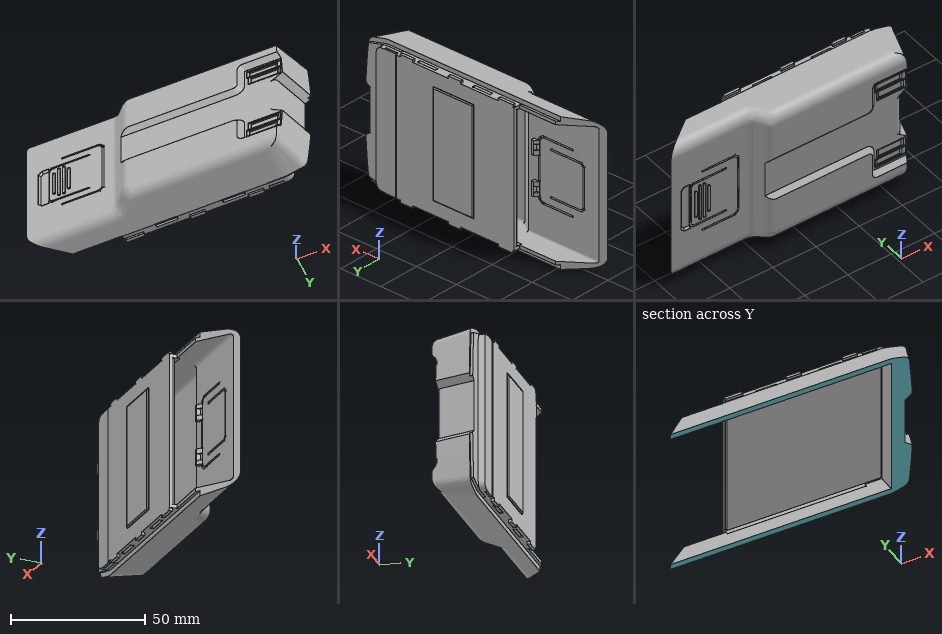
import cadquery as cq
import math


LENGTH = 111.7
RIM_HALF = 65.8 / 2
DRAFT = 9.8
TIP_FACE_Y = -10.4
FACE_Y = -16.4
STEP_START_X = 36.9
STEP_END_X = 42.2
STEP_INNER_R = 3.7
STEP_OUTER_R = 5.4
EDGE_R = 5.0
LIP_HEIGHT = 1.1
LIP_INSET = 2.0
LIP_END_INSET = 1.2
TIP_RUN = 15.9
LIP_HALF = RIM_HALF - LIP_INSET

END_R = 279.4
END_LEAN = 19.3
CORNER_R = 3.4
FACET_START_X = 99.8
FACET_R = 12.9
FACET_ANGLE = 14.5
OVERSHOOT = 8.9

CAVITY_HALF = 29.4
CAVITY_CORNER_R = 1.2
TIP_FLOOR_Y = -8.5
FLOOR_Y = -12.5
CAVITY_END_X = 100.6
CAVITY_STEP_SHIFT = 1.1

CHANNEL_DEPTH = 1.9
CHANNEL_SIDE_ANGLE = 48.0
CHANNEL_HALF = 10.1
CHANNEL_WIDE_HALF = 23.1
CHANNEL_WIDE_X = 89.0
CHANNEL_INNER_R = 1.7
CHANNEL_OUTER_R = 2.5
CHANNEL_FLOOR_Y = FACE_Y + CHANNEL_DEPTH

NOTCH_DEPTH = 3.2
NOTCH_HALF = 9.8
NOTCH_MOUTH_HALF = 12.3
NOTCH_EDGE_R = 2.2
END_X = LENGTH + NOTCH_MOUTH_HALF ** 2 / (2 * END_R * math.cos(math.radians(END_LEAN)))

OUTER_CONTACT = (91.9, 18.3, 3.7)
INNER_CONTACT = (92.5, 14.3, 4.1)
CONTACT_END_X = 105.9
CONTACT_DEPTH = 0.5
CONTACT_WELL_DEPTH = 1.0
CONTACT_WELL_LENGTH = 10.7
CONTACT_WELL_MARGIN_X = 1.0
CONTACT_WELL_MARGIN_Z = 0.3
CONTACT_RAMP = 0.8

SLOT_WIDTH = 0.73
SLOT_LEAN = 1.3
PRESS_SLOT = (9.0, 25.4, 10.3, 1.2)
HINGE_SLOT = (31.3, 14.7, 14.3, 1.6)
FINGER_X = 4.8
FINGER_HALF = 10.7
FINGER_DEPTH = 0.9
FINGER_CHAMFER = 1.5
FINGER_BEVEL = 0.8
GRIP_START_X = 11.4
GRIP_PITCH = 2.0
GRIP_WIDTH = 1.1
GRIP_HEIGHT = 0.5
GRIP_LENGTHS = (12.7, 16.8, 16.8, 12.7)

HOOK_X = 32.4
HOOK_RAMP = 1.7
HOOK_BACK = 1.1
HOOK_HEIGHT = 1.6
HOOK_Z = (5.7, 12.1)
HOOK_GAP_Z = (7.7, 10.4)

LID_START_X = 34.0
LID_STEP_X = 93.3
LID_END_X = 103.4
LID_TOP_Y = 4.0
LID_STEP_DROP = 0.3
LID_CORNER_R = 2.8
LID_PLATE_Y = 1.8
LID_REBATE = 0.7
PAD_X = (54.1, 74.3)
PAD_HALF = 24.5
PAD_TOP_Y = 4.7
PAD_BEVEL = 0.5
TAB_SPANS = ((34.6, 42.0), (60.9, 67.0), (84.8, 91.1))
TAB_BOTTOM_Y = 2.7
TAB_REACH = 1.06
END_RIB_LENGTH = 6.0
END_RIB_REACH = 0.17
WINDOW_SPANS = ((47.4, 56.1), (74.6, 83.7))
WINDOW_Y = (1.2, 2.7)
WINDOW_DEPTH = 1.3


def box(x, y, z):
    """Block spanning the given (low, high) pairs."""
    size = (x[1] - x[0], y[1] - y[0], z[1] - z[0])
    return cq.Workplane("XY").box(*size, centered=False).translate((x[0], y[0], z[0]))


def plan(y):
    """Sketch plane at height Y, with local axes X and Z, facing the front."""
    return cq.Workplane("XZ", origin=(0, y, 0))


def side_prism(points, half):
    """Prism with an XY outline, symmetric about Z = 0."""
    return cq.Workplane("XY").polyline(points).close().extrude(half, both=True)


def rim_outline(inset):
    """Plan outline with straight sides that bend into angled facets near the far end."""
    half = RIM_HALF - inset
    angle = math.radians(FACET_ANGLE)
    radius = FACET_R - inset
    bend_x = FACET_START_X + radius * math.sin(angle)
    bend_half = half - radius * (1 - math.cos(angle))
    mid_x = FACET_START_X + radius * math.sin(angle / 2)
    mid_half = half - radius * (1 - math.cos(angle / 2))
    end_x = END_X + OVERSHOOT
    end_half = bend_half - (end_x - bend_x) * math.tan(angle)
    return (
        plan(0)
        .moveTo(-OVERSHOOT, -half)
        .lineTo(FACET_START_X, -half)
        .threePointArc((mid_x, -mid_half), (bend_x, -bend_half))
        .lineTo(end_x, -end_half)
        .lineTo(end_x, end_half)
        .lineTo(bend_x, bend_half)
        .threePointArc((mid_x, mid_half), (FACET_START_X, half))
        .lineTo(-OVERSHOOT, half)
        .close()
    )


def end_plane():
    """Sketch plane through the rim centre of the far end, square to the lean of the end face."""
    lean = math.radians(END_LEAN)
    normal = (-math.sin(lean), -math.cos(lean), 0)
    x_dir = (math.cos(lean), -math.sin(lean), 0)
    return cq.Workplane(cq.Plane(origin=(END_X, 0, 0), xDir=x_dir, normal=normal))


def end_trim():
    """Everything on the near side of the curved, leaning end face."""
    sagitta = RIM_HALF ** 2 / (2 * END_R)
    reach = 2 * END_X
    return (
        end_plane()
        .moveTo(-reach, -RIM_HALF)
        .lineTo(-sagitta, -RIM_HALF)
        .threePointArc((0, 0), (-sagitta, RIM_HALF))
        .lineTo(-reach, RIM_HALF)
        .close()
        .extrude(reach, both=True)
    )


def tip_x(y):
    """X of the sloped tip face at height Y."""
    return TIP_RUN * (y - TIP_FACE_Y) / (LIP_HEIGHT - TIP_FACE_Y)


def stepped_block():
    """Drafted block with the stepped front face, all long front edges rounded."""
    far_x = END_X + OVERSHOOT
    outline = [
        (0, TIP_FACE_Y),
        (STEP_START_X, TIP_FACE_Y),
        (STEP_END_X, FACE_Y),
        (far_x, FACE_Y),
        (far_x, 0),
        (tip_x(0), 0),
    ]
    front = side_prism(outline, RIM_HALF)
    front = front.edges(cq.NearestToPointSelector((STEP_START_X, TIP_FACE_Y, 0))).fillet(STEP_INNER_R)
    front = front.edges(cq.NearestToPointSelector((STEP_END_X, FACE_Y, 0))).fillet(STEP_OUTER_R)
    face_half = RIM_HALF + FACE_Y * math.tan(math.radians(DRAFT))
    section = [(0, -RIM_HALF), (FACE_Y, -face_half), (FACE_Y, face_half), (0, RIM_HALF)]
    drafted = cq.Workplane("YZ", origin=(-OVERSHOOT, 0, 0)).polyline(section).close()
    block = front.intersect(drafted.extrude(far_x + 2 * OVERSHOOT))
    for side in (-1, 1):
        far = cq.NearestToPointSelector((far_x - STEP_START_X, FACE_Y, side * face_half))
        block = block.edges(far).fillet(EDGE_R)
    return block


def lip():
    """Raised lip inside the rim, interrupted where the lid skirts reach down to the rim."""
    blank = rim_outline(LIP_INSET).extrude(-LIP_HEIGHT)
    far_x = END_X + OVERSHOOT
    sloped = [(tip_x(0), 0), (far_x, 0), (far_x, LIP_HEIGHT), (TIP_RUN, LIP_HEIGHT)]
    near_side = end_trim().translate((-LIP_END_INSET, 0, 0))
    lid_seat = box((LID_START_X, LID_STEP_X), (0, LIP_HEIGHT), (-RIM_HALF, RIM_HALF))
    return blank.intersect(side_prism(sloped, RIM_HALF)).intersect(near_side).cut(lid_seat)


def cavity():
    """Hollow of the case, open at the back and at the tip."""
    outline = [
        (-OVERSHOOT, TIP_FLOOR_Y),
        (STEP_START_X + CAVITY_STEP_SHIFT, TIP_FLOOR_Y),
        (STEP_END_X + CAVITY_STEP_SHIFT, FLOOR_Y),
        (CAVITY_END_X, FLOOR_Y),
        (CAVITY_END_X, OVERSHOOT),
        (-OVERSHOOT, OVERSHOOT),
    ]
    hollow = side_prism(outline, CAVITY_HALF)
    low_corner = (-2 * OVERSHOOT, FLOOR_Y - CAVITY_CORNER_R, -RIM_HALF)
    high_corner = (CAVITY_END_X, TIP_FLOOR_Y + CAVITY_CORNER_R, RIM_HALF)
    floors = cq.selectors.BoxSelector(low_corner, high_corner)
    return hollow.edges("#Z").edges(floors).fillet(CAVITY_CORNER_R)


def channel():
    """T-shaped channel with sloped sides in the front face."""
    far_x = END_X + OVERSHOOT
    points = [
        (STEP_START_X, -CHANNEL_HALF),
        (CHANNEL_WIDE_X, -CHANNEL_HALF),
        (CHANNEL_WIDE_X, -CHANNEL_WIDE_HALF),
        (far_x, -CHANNEL_WIDE_HALF),
        (far_x, CHANNEL_WIDE_HALF),
        (CHANNEL_WIDE_X, CHANNEL_WIDE_HALF),
        (CHANNEL_WIDE_X, CHANNEL_HALF),
        (STEP_START_X, CHANNEL_HALF),
    ]
    blank = plan(FACE_Y).polyline(points).close().extrude(-CHANNEL_DEPTH)
    for half, radius in ((CHANNEL_HALF, CHANNEL_INNER_R), (CHANNEL_WIDE_HALF, CHANNEL_OUTER_R)):
        for side in (-1, 1):
            corner = cq.NearestToPointSelector((CHANNEL_WIDE_X, FACE_Y + CHANNEL_DEPTH / 2, side * half))
            blank = blank.edges("|Y").edges(corner).fillet(radius)
    outline = blank.faces("<Y").wires().val()
    return plan(FACE_Y).add(outline).toPending().extrude(-CHANNEL_DEPTH, taper=CHANNEL_SIDE_ANGLE)


def notch():
    """Notch in the far end with flared sides."""
    flare = [
        (-NOTCH_DEPTH, -NOTCH_HALF),
        (0, -NOTCH_MOUTH_HALF),
        (OVERSHOOT, -NOTCH_MOUTH_HALF),
        (OVERSHOOT, NOTCH_MOUTH_HALF),
        (0, NOTCH_MOUTH_HALF),
        (-NOTCH_DEPTH, NOTCH_HALF),
    ]
    return end_plane().polyline(flare).close().extrude(-FACE_Y * 2, both=True)


def round_notch_edge(case):
    """Round the edge where the channel floor runs into the notch wall."""
    lean = math.radians(END_LEAN)
    wall_x = END_X - NOTCH_DEPTH / math.cos(lean) + CHANNEL_FLOOR_Y * math.tan(lean)
    edge = cq.NearestToPointSelector((wall_x, CHANNEL_FLOOR_Y, 0))
    return case.edges("|Z").edges(edge).fillet(NOTCH_EDGE_R)


def contacts():
    """Four stepped contact recesses in the channel floor, mirrored about Z = 0."""
    tools = cq.Workplane("XY")
    for start_x, centre_z, width in (OUTER_CONTACT, INNER_CONTACT):
        for side in (-1, 1):
            z = side * centre_z
            recess = box(
                (start_x, CONTACT_END_X),
                (FACE_Y, CHANNEL_FLOOR_Y + CONTACT_DEPTH),
                (z - width / 2, z + width / 2),
            )
            well_x = start_x + CONTACT_WELL_MARGIN_X
            well_floor_y = CHANNEL_FLOOR_Y + CONTACT_WELL_DEPTH
            outline = [
                (well_x, FACE_Y),
                (well_x, well_floor_y),
                (well_x + CONTACT_WELL_LENGTH, well_floor_y),
                (well_x + CONTACT_WELL_LENGTH + CONTACT_RAMP, CHANNEL_FLOOR_Y + CONTACT_DEPTH),
                (well_x + CONTACT_WELL_LENGTH + CONTACT_RAMP, FACE_Y),
            ]
            well_half = width / 2 - CONTACT_WELL_MARGIN_Z
            well = side_prism(outline, well_half).translate((0, 0, z))
            tools = tools.add(recess.union(well))
    return tools.combine()


def latch_slot(cross_x, leg_end_x, leg_z, chamfer):
    """Chamfered U slot through the tip wall, drifting along X as it goes inwards."""
    turn = math.copysign(chamfer, leg_end_x - cross_x)
    centre_line = [
        (leg_end_x, -leg_z),
        (cross_x + turn, -leg_z),
        (cross_x, chamfer - leg_z),
        (cross_x, leg_z - chamfer),
        (cross_x + turn, leg_z),
        (leg_end_x, leg_z),
    ]
    outline = plan(TIP_FACE_Y).polyline(centre_line).offset2D(SLOT_WIDTH / 2, "intersection")
    face = cq.Face.makeFromWires(outline.val())
    wall = TIP_FLOOR_Y - TIP_FACE_Y
    return cq.Workplane(cq.Solid.extrudeLinear(face, cq.Vector(SLOT_LEAN, wall, 0)))


def finger_recess():
    """Shallow recess with bevelled sides between the tip and the press slot."""
    cross_x = PRESS_SLOT[0]
    inner_half = FINGER_HALF - FINGER_CHAMFER
    outline = [
        (cross_x, -FINGER_HALF),
        (FINGER_X + FINGER_CHAMFER, -FINGER_HALF),
        (FINGER_X, -inner_half),
        (FINGER_X, inner_half),
        (FINGER_X + FINGER_CHAMFER, FINGER_HALF),
        (cross_x, FINGER_HALF),
    ]
    tool = plan(TIP_FACE_Y).polyline(outline).close().extrude(-FINGER_DEPTH)
    return tool.faces(">Y").edges("not >X").chamfer(FINGER_BEVEL)


def grips():
    """Raised grip bars on the press tongue."""
    bars = cq.Workplane("XY")
    for index, length in enumerate(GRIP_LENGTHS):
        x = GRIP_START_X + index * GRIP_PITCH
        bar = plan(TIP_FACE_Y).center(x, 0).slot2D(length, GRIP_WIDTH, 90).extrude(GRIP_HEIGHT)
        bars = bars.add(bar)
    return bars.combine()


def hooks():
    """Two ramped hooks on the inner floor, each with a flat gap in the ramp."""
    foot = (TIP_FACE_Y + TIP_FLOOR_Y) / 2
    top = TIP_FLOOR_Y + HOOK_HEIGHT
    back_x = HOOK_X + HOOK_RAMP
    outline = [
        (HOOK_X, foot),
        (HOOK_X, TIP_FLOOR_Y),
        (back_x, top),
        (back_x + HOOK_BACK, top),
        (back_x + HOOK_BACK, foot),
    ]
    width = HOOK_Z[1] - HOOK_Z[0]
    hook = cq.Workplane("XY", origin=(0, 0, HOOK_Z[0])).polyline(outline).close().extrude(width)
    hook = hook.cut(box((HOOK_X, back_x), (TIP_FLOOR_Y, top), HOOK_GAP_Z))
    return hook.union(hook.mirror("XY"))


def round_end_corners(case):
    """Round the corners between the angled facets and the far end."""
    for side in (-1, 1):
        corner = cq.NearestToPointSelector((END_X, FACE_Y / 2, side * RIM_HALF))
        case = case.edges("not(|Y or |X or |Z)").edges(corner).fillet(CORNER_R)
    return case


def make_case():
    """Battery case: drafted shell with its front channel, contacts and latch tongue."""
    case = stepped_block().intersect(rim_outline(0).extrude(-FACE_Y + OVERSHOOT, taper=DRAFT))
    case = case.intersect(end_trim())
    case = round_end_corners(case)
    case = case.union(lip())
    case = round_notch_edge(case.cut(cavity()).cut(channel()).cut(notch()))
    case = case.cut(contacts()).cut(finger_recess())
    for slot in (PRESS_SLOT, HINGE_SLOT):
        case = case.cut(latch_slot(*slot))
    return case.union(grips()).union(hooks())


def window(span):
    """Wedge-shaped window in the lid side, deepest at its back edge."""
    low_y, high_y = WINDOW_Y
    section = [(low_y, LIP_HALF), (high_y, LIP_HALF - WINDOW_DEPTH), (high_y, LIP_HALF)]
    wedge = cq.Workplane("YZ", origin=(span[0], 0, 0)).polyline(section).close()
    return wedge.extrude(span[1] - span[0])


def make_lid():
    """Flat lid with skirts, side windows, snap tabs and a raised pad."""
    step_y = LID_TOP_Y - LID_STEP_DROP
    across = (-LIP_HALF, LIP_HALF)
    lid = box((LID_START_X, LID_END_X), (LIP_HEIGHT, step_y), across)
    lid = lid.edges("|Y and >X").fillet(LID_CORNER_R)
    lid = lid.union(box((LID_START_X, LID_STEP_X), (0, LID_TOP_Y), across))
    inside = (-CAVITY_HALF, CAVITY_HALF)
    lid = lid.cut(box((LID_START_X, CAVITY_END_X), (0, LID_PLATE_Y), inside))
    rebate_x = (LID_START_X, LID_START_X + LID_REBATE)
    lid = lid.cut(box(rebate_x, (LID_PLATE_Y, TAB_BOTTOM_Y), inside))

    pad = box(PAD_X, (LID_TOP_Y, PAD_TOP_Y), (-PAD_HALF, PAD_HALF))
    lid = lid.union(pad.faces(">Y").edges().chamfer(PAD_BEVEL))

    reach = LIP_HALF + TAB_REACH
    for span in TAB_SPANS:
        lid = lid.union(box(span, (TAB_BOTTOM_Y, LID_TOP_Y), (-reach, reach)))
    rib_half = LIP_HALF + END_RIB_REACH
    rib_x = (LID_STEP_X, LID_STEP_X + END_RIB_LENGTH)
    lid = lid.union(box(rib_x, (TAB_BOTTOM_Y, step_y), (-rib_half, rib_half)))

    for span in WINDOW_SPANS:
        cutter = window(span)
        lid = lid.cut(cutter).cut(cutter.mirror("XY"))
    return lid


case = make_case()
lid = make_lid()
result = cq.Compound.makeCompound([case.solids().val(), lid.solids().val()])